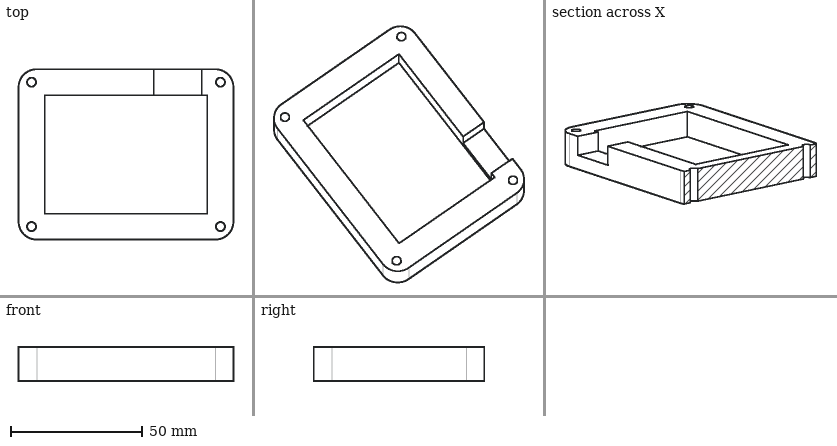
import cadquery as cq

length = 82.0
width = 65.0
height = 13.0
corner_radius = 7.0

pocket_length = 61.75
pocket_width = 45.2
pocket_depth = 10.0

notch_left = 10.5
notch_width = 18.3
notch_depth = 7.5

hole_diameter = 3.4
hole_spacing_x = 72.0
hole_spacing_y = 55.0


def make_block():
    block = cq.Workplane("XY").box(length, width, height, centered=(True, True, False))
    return block.edges("|Z").fillet(corner_radius)


def make_pocket():
    pocket = cq.Workplane("XY").workplane(offset=height - pocket_depth)
    return pocket.rect(pocket_length, pocket_width).extrude(pocket_depth)


def make_notch():
    notch = cq.Workplane("XY").box(notch_width, width / 2, notch_depth, centered=False)
    return notch.translate((notch_left, 0, height - notch_depth))


def make_screw_holes():
    holes = cq.Workplane("XY").rect(hole_spacing_x, hole_spacing_y, forConstruction=True)
    return holes.vertices().circle(hole_diameter / 2).extrude(height)


result = make_block().cut(make_pocket()).cut(make_notch()).cut(make_screw_holes())